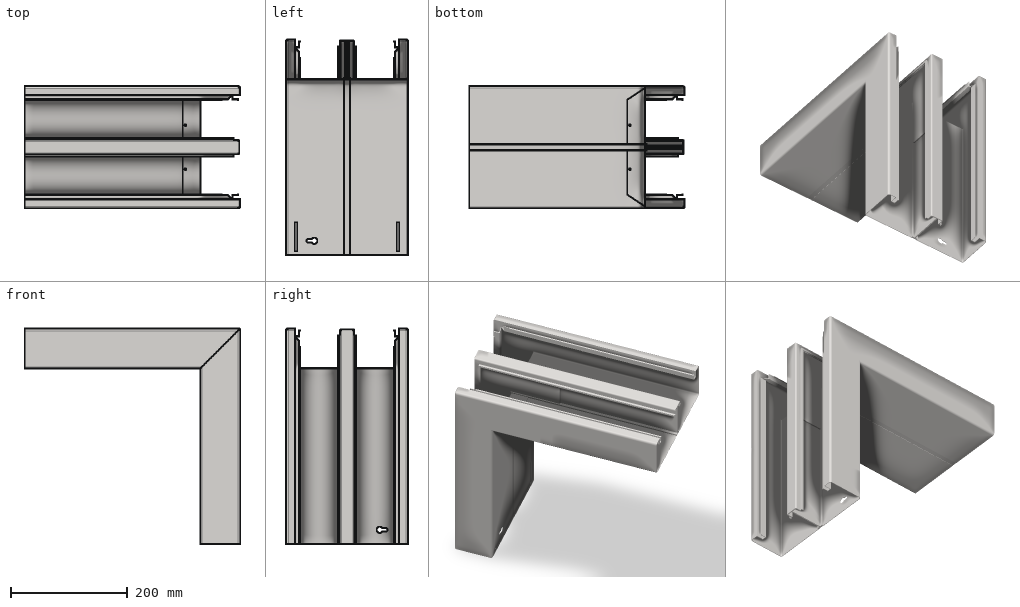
import cadquery as cq
import math

arm_length = 369.5
width = 210.0
arm_depth = 69.0
sheet = 1.0
half_width = width / 2
floor_level = arm_length - arm_depth
floor_top = floor_level + sheet

floor_bend = 3.5
rim_bend = 4.0
corner_radius = 3.0
rim_width = 16.3
ledge_depth = 14.0
hook_reach = 23.3
hook_top_depth = 3.5
hook_tip = 1.5
hook_tip_end = 338.0
hook_chamfer_start = 348.0
ledge_end = 354.7

groove_width = 9.0
groove_depth = 0.48

lap_end = 271.0
lap_half_width = 81.3
lap_hole_diameter = 3.0
lap_hole_x = 275.3
lap_hole_y = 37.7

keyhole_y = 56.0
keyhole_z = 24.5
keyhole_radius = 5.0
keyhole_slot_width = 5.5
keyhole_slot_end_y = 69.5
recess_y = 87.2
recess_width = 4.0
recess_bottom = 6.3
recess_top = 56.5
recess_depth = 0.7

divider_drop = 1.5
head_width = 24.8
head_lip_depth = 13.3
flange_depth = 11.5
flange_width = 32.5
flange_turn_depth = 14.8
head_sheet = 2.0
head_bend = 2.5
web_thickness = 2.2
foot_width = 12.0
foot_height = 2.5
plate_thickness = 7.5
plate_start = 214.5


def section(y_low, y_high, depth_top, depth_bottom):
    """Bar of the level arm, between two Y values and two depths below the open side."""
    return (
        cq.Workplane("XY")
        .box(arm_length, y_high - y_low, depth_bottom - depth_top, centered=False)
        .translate((0, y_low, arm_length - depth_bottom))
    )


def mirrored_pair(half):
    """Join a shape with its mirror image on the other side of Y = 0."""
    return half.union(half.mirror("XZ"))


def upright(level_shape):
    """Swap X and Z, turning a level arm into the matching upright arm."""
    return level_shape.mirror(cq.Vector(1, 0, -1))


def mitre_prism(outer, radius):
    """Space of the level arm up to the mitre plane X = Z, with half of the rounded elbow corner."""
    centre = outer - radius
    mitre_reach = centre + radius * math.cos(math.pi / 4)
    arc_x = centre + radius * math.sin(math.pi / 8)
    arc_z = centre + radius * math.cos(math.pi / 8)
    return (
        cq.Workplane("XZ")
        .moveTo(0, 0)
        .lineTo(mitre_reach, mitre_reach)
        .threePointArc((arc_x, arc_z), (centre, outer))
        .lineTo(0, outer)
        .close()
        .extrude(half_width, both=True)
    )


def channel_shell():
    """Floor, walls and inturned rims of one arm, with a groove under the floor."""
    outer = section(-half_width, half_width, 0, arm_depth)
    outer = outer.edges("|X and <Z").fillet(floor_bend)
    outer = outer.edges("|X and >Z").fillet(rim_bend)
    inner_half = half_width - sheet
    inner = section(-inner_half, inner_half, sheet, arm_depth - sheet)
    inner = inner.edges("|X and <Z").fillet(floor_bend - sheet)
    inner = inner.edges("|X and >Z").fillet(rim_bend - sheet)
    mouth_half = half_width - rim_width
    mouth = section(-mouth_half, mouth_half, 0, sheet)
    groove = section(-groove_width / 2, groove_width / 2, arm_depth - groove_depth, arm_depth)
    return outer.cut(inner).cut(mouth).cut(groove)


def rim_hooks():
    """Rim skirt, ledge and upturned hook on both sides, cut back near the elbow."""
    rim_edge = half_width - rim_width
    hook_edge = half_width - hook_reach
    skirt = section(rim_edge, rim_edge + sheet, 0, ledge_depth)
    ledge = section(hook_edge, rim_edge + sheet, ledge_depth - sheet, ledge_depth)
    hook = section(hook_edge, hook_edge + sheet, hook_top_depth, ledge_depth)
    tip = section(hook_edge - hook_tip, hook_edge + sheet, hook_top_depth, hook_top_depth + sheet)
    beyond_tip = (
        cq.Workplane("XY")
        .box(arm_length - hook_tip_end, hook_tip, arm_length, centered=False)
        .translate((hook_tip_end, hook_edge - hook_tip, 0))
    )
    end_cut = (
        cq.Workplane("XY")
        .polyline([
            (hook_chamfer_start, hook_edge - hook_tip),
            (hook_chamfer_start, hook_edge),
            (ledge_end, rim_edge),
            (arm_length, rim_edge),
            (arm_length, hook_edge - hook_tip),
        ])
        .close()
        .extrude(arm_length)
    )
    return mirrored_pair(skirt.union(ledge).union(hook).union(tip).cut(beyond_tip).cut(end_cut))


def floor_lap():
    """Tapered flap on the level floor, bent over the end of the upright floor."""
    root_half = half_width - floor_bend
    flap = (
        cq.Workplane("XY", origin=(0, 0, floor_top))
        .polyline([
            (floor_top, -root_half),
            (lap_end, -lap_half_width),
            (lap_end, lap_half_width),
            (floor_top, root_half),
        ])
        .close()
        .extrude(sheet)
    )
    bend = (
        cq.Workplane("XY", origin=(floor_level, 0, floor_level))
        .box(sheet, 2 * root_half, 2 * sheet, centered=(False, True, False))
    )
    foot_gap = (
        cq.Workplane("XY", origin=(0, 0, floor_top))
        .box(arm_length, foot_width, sheet, centered=(False, True, False))
    )
    holes = (
        cq.Workplane("XY", origin=(lap_hole_x, 0, floor_top))
        .pushPoints([(0, -lap_hole_y), (0, lap_hole_y)])
        .circle(lap_hole_diameter / 2)
        .extrude(sheet)
    )
    return flap.union(bend).cut(foot_gap).cut(holes)


def floor_openings():
    """Keyhole through the floor and two long recesses in the outside of the upright channel."""
    floor_plane = cq.Workplane("YZ", origin=(floor_level, 0, 0))
    recess_height = recess_top - recess_bottom
    recesses = (
        floor_plane.pushPoints([(side * recess_y, recess_bottom + recess_height / 2) for side in (-1, 1)])
        .rect(recess_width, recess_height)
        .extrude(recess_depth)
    )
    round_hole = floor_plane.center(keyhole_y, keyhole_z).circle(keyhole_radius).extrude(sheet)
    neck_length = 2 * (keyhole_slot_end_y - keyhole_y)
    neck_side = (
        cq.Workplane("XY", origin=(0, keyhole_y, 0))
        .box(arm_length, half_width - keyhole_y, arm_length, centered=False)
    )
    neck = (
        floor_plane.center(keyhole_y, keyhole_z)
        .slot2D(neck_length, keyhole_slot_width)
        .extrude(sheet)
        .intersect(neck_side)
    )
    return recesses.union(round_hole).union(neck)


def divider_arm():
    """Head with bent lips, flanges, web, foot and corner plate of the divider along the level arm."""
    head_half = head_width / 2
    flange_half = flange_width / 2
    foot_bottom = arm_depth - sheet
    foot_top = foot_bottom - foot_height
    head_bottom = divider_drop + head_sheet
    outer = section(-head_half, head_half, divider_drop, head_lip_depth)
    outer = outer.edges("|X and >Z").fillet(head_bend)
    inner = section(head_sheet - head_half, head_half - head_sheet, head_bottom, head_lip_depth)
    inner = inner.edges("|X and >Z").fillet(head_bend - head_sheet)
    head = outer.cut(inner)
    flange = section(head_half - head_sheet, flange_half, flange_depth, flange_depth + sheet)
    turn = section(flange_half - sheet, flange_half, flange_depth, flange_turn_depth)
    flanges = mirrored_pair(flange.union(turn))
    web = section(-web_thickness / 2, web_thickness / 2, head_bottom, foot_bottom)
    foot = section(-foot_width / 2, foot_width / 2, foot_top, foot_bottom)
    plate = section(-plate_thickness / 2, plate_thickness / 2, head_bottom, foot_bottom)
    before_plate = cq.Workplane("XY").box(plate_start, width, arm_length, centered=(False, True, False))
    return head.union(flanges).union(web).union(foot).union(plate.cut(before_plate))


channel_space = mitre_prism(arm_length, corner_radius)
channel_arm = channel_shell().union(rim_hooks()).intersect(channel_space)
lap = floor_lap()
level_channel = channel_arm.cut(lap)
upright_channel = upright(channel_arm).cut(floor_openings()).union(lap)

divider_half = divider_arm().intersect(mitre_prism(arm_length - divider_drop, sheet))
divider = divider_half.union(upright(divider_half))

result = cq.Compound.makeCompound([level_channel.val(), upright_channel.val(), divider.val()])